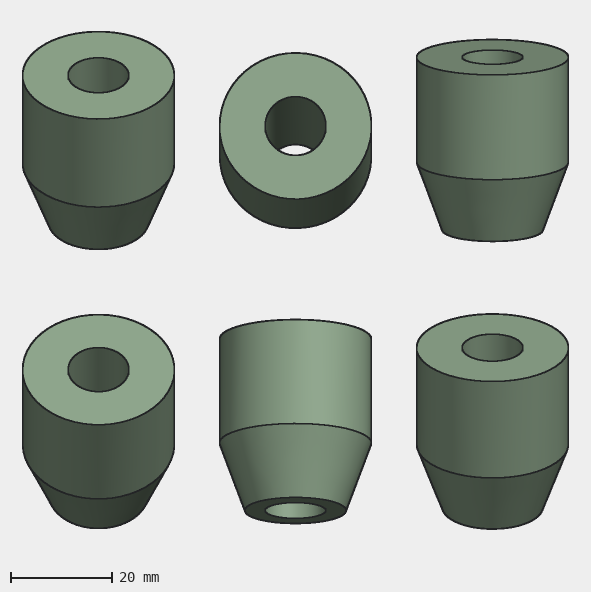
import cadquery as cq
import math

height = 35.0
body_diameter = 30.0
tip_diameter = 20.0
bore_diameter = 12.0
taper_angle = 20.0

body_radius = body_diameter / 2
tip_radius = tip_diameter / 2
bore_radius = bore_diameter / 2
taper_height = (body_radius - tip_radius) / math.tan(math.radians(taper_angle))

half_section = (
    cq.Workplane("XZ")
    .moveTo(bore_radius, 0)
    .lineTo(tip_radius, 0)
    .lineTo(body_radius, taper_height)
    .lineTo(body_radius, height)
    .lineTo(bore_radius, height)
    .close()
)

result = half_section.revolve(360, (0, 0), (0, 1))